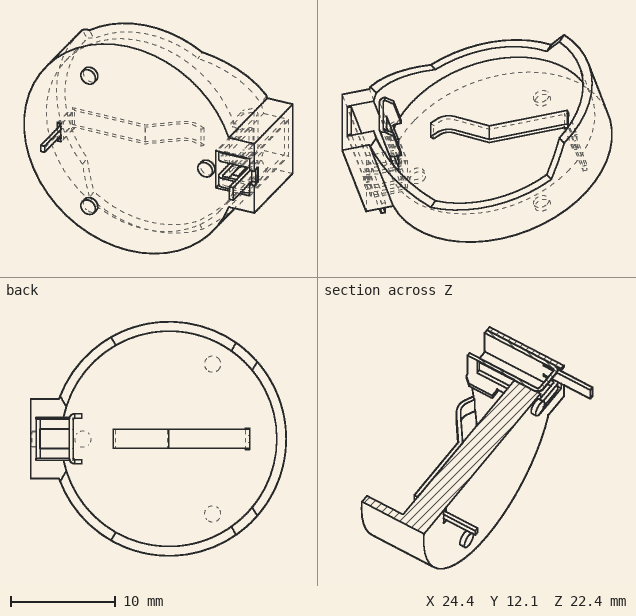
import cadquery as cq
import math


body_radius = 11.175
wall_thickness = 0.9
cavity_radius = body_radius - wall_thickness
floor_thickness = 3.0
low_rim = 4.46
left_rim = 7.11
right_rim = 8.51
block_right = 13.205
block_half_width = 3.8
cut_direction = 30.0
left_slope_angle = 45.0
left_slope_offset = -0.95
right_slope_angle = 30.0
right_slope_offset = -0.05
big = 4 * body_radius

peg_circle_radius = 8.25
peg_radius = 0.775
peg_height = 0.52
peg_angles = (0, 120, 240)

sheet = 0.4
lead_length = 3.58
fit_gap = 0.08

clip_left = 9.14
clip_right = 12.70
clip_half_width = 1.87
clip_bottom = 0.12
clip_left_top = 8.38
clip_bend = 0.6
clip_slot_half_width = 0.92
clip_slot_left_top = 7.27
clip_slot_right_top = 1.8
clip_lead_half_width = 0.69
pocket_half_width = 2.03
ear_half_span = 2.38
ear_tip = 8.33
ear_bottom = 5.0
ear_bend = 0.54
ear_lead_in = 0.72

barb_reach = 0.42
barb_bottom = 0.5
notch_height = 0.9

strip_left = -7.67
strip_half_width = 0.92
pin_half_width = 0.33
pin_shoulder = 0.5
arch_radius = 1.68
arch_peak = 5.81
arch_center_x = 3.85
rise_angle = math.radians(36.5)
fall_angle = math.radians(27.0)
tip_length = 0.82


def box(x_range, y_range, half_width):
    """Box centred on Z = 0."""
    size_x = x_range[1] - x_range[0]
    size_y = y_range[1] - y_range[0]
    center = ((x_range[0] + x_range[1]) / 2, (y_range[0] + y_range[1]) / 2, 0)
    return cq.Workplane("XY").box(size_x, size_y, 2 * half_width).translate(center)


def disc(radius, y_range):
    """Cylinder along Y about the cell axis."""
    plane = cq.Workplane("XZ", origin=(0, y_range[0], 0))
    return plane.circle(radius).extrude(y_range[0] - y_range[1])


def slope_prism(points, heading):
    """Long prism whose X-Y outline is turned about the Y axis to the heading."""
    prism = cq.Workplane("XY").polyline(points).close().extrude(big, both=True)
    return prism.rotate((0, 0, 0), (0, 1, 0), heading)


def rim_cut():
    """The gap in the rim at +Z: level at the bottom, sloping up at both ends."""
    left_run = big / math.tan(math.radians(left_slope_angle))
    right_run = big / math.tan(math.radians(right_slope_angle))
    top = low_rim + big
    past_left = slope_prism(
        [(left_slope_offset, low_rim), (big, low_rim), (big, top), (left_slope_offset - left_run, top)],
        -cut_direction,
    )
    before_right = slope_prism(
        [(right_slope_offset, low_rim), (-big, low_rim), (-big, top), (right_slope_offset + right_run, top)],
        cut_direction,
    )
    upper_half = cq.Workplane("XY").box(big, big, big).translate((0, 0, big / 2))
    return past_left.intersect(before_right).intersect(upper_half)


def make_housing():
    shell = disc(body_radius, (0, right_rim))
    shell = shell.union(box((0, block_right), (0, right_rim), block_half_width))
    shell = shell.cut(disc(cavity_radius, (floor_thickness, right_rim)))
    shell = shell.cut(box((-big, 0), (left_rim, big), big))

    gap = rim_cut()
    shell = shell.cut(gap).cut(gap.mirror("XY"))

    for angle in peg_angles:
        x = peg_circle_radius * math.cos(math.radians(angle))
        z = peg_circle_radius * math.sin(math.radians(angle))
        shell = shell.union(disc(peg_radius, (-peg_height, 0)).translate((x, 0, z)))

    shell = shell.cut(box((clip_left, clip_right), (0, right_rim), pocket_half_width))
    notch_half_width = clip_lead_half_width + fit_gap
    shell = shell.cut(box((clip_right, block_right), (0, notch_height), notch_half_width))

    slot_x = (strip_left, strip_left + sheet)
    return shell.cut(box(slot_x, (0, floor_thickness), strip_half_width + fit_gap))


def clip_ear():
    """Ear at +Z: a flange bent off the left arm towards the cell, with a sloping top."""
    arm_face = clip_left + sheet
    bend_start_x = arm_face - ear_bend
    bend_start_z = ear_half_span - ear_bend
    outline = (
        cq.Workplane("XZ", origin=(0, ear_bottom, 0))
        .moveTo(arm_face, bend_start_z)
        .radiusArc((bend_start_x, ear_half_span), -ear_bend)
        .lineTo(ear_tip, ear_half_span)
        .lineTo(ear_tip, ear_half_span - sheet)
        .lineTo(bend_start_x, ear_half_span - sheet)
        .radiusArc((clip_left, bend_start_z), ear_bend - sheet)
        .close()
    )
    flange = outline.extrude(ear_bottom - clip_left_top)
    lead_in = (
        cq.Workplane("XY")
        .moveTo(ear_tip, clip_left_top - ear_lead_in)
        .lineTo(bend_start_x, clip_left_top)
        .lineTo(ear_tip, clip_left_top)
        .close()
        .extrude(ear_half_span)
    )
    return flange.cut(lead_in)


def make_positive_contact():
    blank = box((clip_left, clip_right), (clip_bottom, right_rim), clip_half_width)
    blank = blank.edges("|Z and <Y").fillet(clip_bend)
    inner = box((clip_left + sheet, clip_right - sheet), (clip_bottom + sheet, right_rim), clip_half_width)
    inner = inner.edges("|Z and <Y").fillet(clip_bend - sheet)
    clip = blank.cut(inner)
    inside_right = clip_right - sheet
    clip = clip.cut(box((clip_left, inside_right), (clip_left_top, right_rim), clip_half_width))

    clip = clip.cut(box((clip_left, inside_right), (0, clip_slot_left_top), clip_slot_half_width))
    clip = clip.cut(box((inside_right, clip_right), (0, clip_slot_right_top), clip_slot_half_width))

    lead_x = (inside_right, clip_right)
    clip = clip.union(box(lead_x, (-lead_length, clip_slot_right_top), clip_lead_half_width))
    barb_x = (clip_right, clip_right + barb_reach)
    clip = clip.union(box(barb_x, (barb_bottom, notch_height), clip_lead_half_width))

    ear = clip_ear()
    return clip.union(ear).union(ear.mirror("XY"))


def make_negative_contact():
    floor_strip_top = floor_thickness + sheet
    arch_center_y = arch_peak - arch_radius
    inner_radius = arch_radius - sheet

    def arch_point(radius, angle):
        return (arch_center_x + radius * math.sin(angle), arch_center_y + radius * math.cos(angle))

    def foot_point(start, height):
        """Where the rising leg through start comes down to the given height."""
        return (start[0] - (start[1] - height) / math.tan(rise_angle), height)

    def tip_point(start):
        return (start[0] + tip_length * math.cos(fall_angle), start[1] - tip_length * math.sin(fall_angle))

    outer_start = arch_point(arch_radius, -rise_angle)
    outer_end = arch_point(arch_radius, fall_angle)
    inner_start = arch_point(inner_radius, -rise_angle)
    inner_end = arch_point(inner_radius, fall_angle)

    strip = (
        cq.Workplane("XY")
        .moveTo(strip_left, pin_shoulder)
        .lineTo(strip_left, floor_strip_top)
        .lineTo(*foot_point(outer_start, floor_strip_top))
        .lineTo(*outer_start)
        .threePointArc(arch_point(arch_radius, 0), outer_end)
        .lineTo(*tip_point(outer_end))
        .lineTo(*tip_point(inner_end))
        .lineTo(*inner_end)
        .threePointArc(arch_point(inner_radius, 0), inner_start)
        .lineTo(*foot_point(inner_start, floor_thickness))
        .lineTo(strip_left + sheet, floor_thickness)
        .lineTo(strip_left + sheet, pin_shoulder)
        .close()
        .extrude(strip_half_width, both=True)
    )
    pin = box((strip_left, strip_left + sheet), (-lead_length, pin_shoulder), pin_half_width)
    return strip.union(pin)


housing = make_housing()
positive_contact = make_positive_contact()
negative_contact = make_negative_contact()

result = cq.Compound.makeCompound([
    housing.solids().val(),
    positive_contact.solids().val(),
    negative_contact.solids().val(),
])